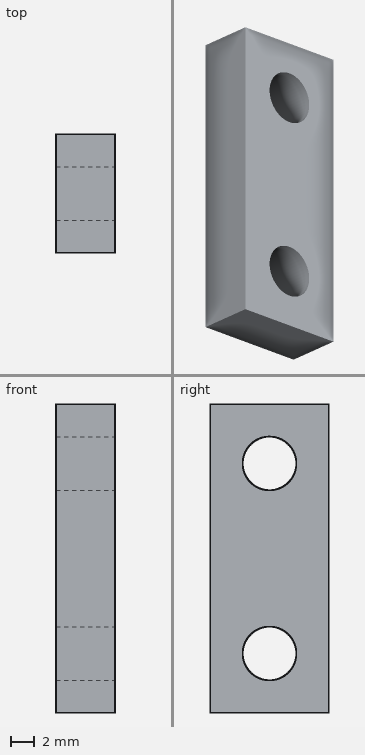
import cadquery as cq

thickness = 5.0
width = 10.0
height = 26.0

hole_diameter = 4.5
hole_spacing = 16.0


def make_plate():
    return cq.Workplane("XY").box(thickness, width, height)


def drill_holes(plate):
    """Drill both holes through the thickness, evenly placed about mid-height."""
    half_spacing = hole_spacing / 2
    return (
        plate.faces("<X")
        .workplane(origin=(0, 0, 0))
        .pushPoints([(0, -half_spacing), (0, half_spacing)])
        .hole(hole_diameter)
    )


result = drill_holes(make_plate())